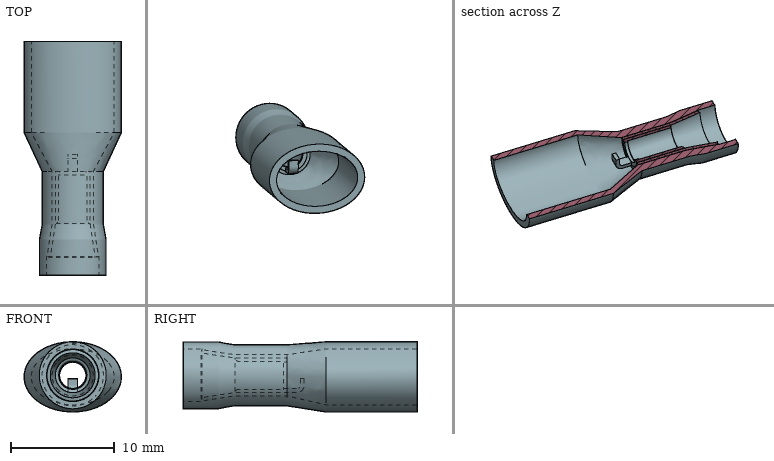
import cadquery as cq

total_length = 22.58
rear_width = 9.4
rear_height = 6.8
rear_drop = 0.147
mouth_radius = 3.23
neck_radius = 2.95
mouth_length = 3.43
flare_end_y = 4.8
neck_start_y = 5.01
neck_end_y = 10.03
rear_start_y = 13.77
bend_length = neck_start_y - flare_end_y
flare_length = flare_end_y - mouth_length
flare_rise = mouth_radius - neck_radius
bend_rise = flare_rise * bend_length / (2 * flare_length + bend_length)

mouth_bore_radius = 2.53
wall = mouth_radius - mouth_bore_radius

rim_y = 1.74
rim_inner_radius = 2.17
rim_outer_radius = 2.48
rim_setback = 0.07
rim_width = rim_outer_radius - rim_inner_radius
rim_outer_y = rim_y + rim_setback
sleeve_bore_radius = 1.67
sleeve_radius = sleeve_bore_radius + rim_width
barrel_start_y = neck_start_y

barrel_radius = sleeve_bore_radius
barrel_bore_radius = 1.35
entry_fillet = barrel_radius - barrel_bore_radius
lip_radius = 1.26
lip_length = 0.34
lip_y = neck_end_y - lip_length
tab_width = 0.93
tab_top_z = -0.32
tab_bend_z = -0.95
tab_bend_radius = 0.34
tab_y = 11.3
tab_floor_z = tab_bend_z - tab_bend_radius
tab_thickness = tab_floor_z + barrel_radius


def revolve_about_y(profile):
    """Turn a closed profile, drawn as (radius, y), once around the Y axis."""
    return profile.close().revolve(360, (0, 0, 0), (0, 1, 0))


def oval_wire(y, half_width, half_height, center_z):
    """Ellipse across Y, with its half width along X."""
    center = cq.Vector(0, y, center_z)
    return cq.Wire.makeEllipse(half_width, half_height, center, cq.Vector(0, -1, 0), cq.Vector(1, 0, 0))


def rear_form(inset, neck_end_radius):
    """Straight-sided loft of the oval rear and its taper to the round neck, inset from the outside."""
    half_width = rear_width / 2 - inset
    half_height = rear_height / 2 - inset
    neck_wire = oval_wire(neck_end_y, neck_end_radius, neck_end_radius, 0)
    rear_wire = oval_wire(rear_start_y, half_width, half_height, -rear_drop)
    end_wire = oval_wire(total_length, half_width, half_height, -rear_drop)
    return cq.Workplane(cq.Solid.makeLoft([neck_wire, rear_wire, end_wire], True))


def make_housing():
    front = revolve_about_y(
        cq.Workplane("XY")
        .moveTo(0, neck_end_y)
        .lineTo(neck_radius, neck_end_y)
        .lineTo(neck_radius, neck_start_y)
        .tangentArcPoint((neck_radius + bend_rise, flare_end_y), relative=False)
        .lineTo(mouth_radius, mouth_length)
        .lineTo(mouth_radius, 0)
        .lineTo(0, 0)
    )
    front_bore = revolve_about_y(
        cq.Workplane("XY")
        .lineTo(mouth_bore_radius, 0)
        .lineTo(mouth_bore_radius, rim_outer_y)
        .lineTo(rim_outer_radius, rim_outer_y)
        .lineTo(sleeve_radius, neck_start_y)
        .lineTo(sleeve_radius, neck_end_y)
        .lineTo(0, neck_end_y)
    )
    body = front.union(rear_form(0, neck_radius))
    return body.cut(front_bore).cut(rear_form(wall, sleeve_radius))


def make_sleeve():
    profile = (
        cq.Workplane("XY")
        .moveTo(rim_inner_radius, rim_y)
        .lineTo(rim_outer_radius, rim_outer_y)
        .lineTo(sleeve_radius, neck_start_y)
        .lineTo(sleeve_radius, neck_end_y)
        .lineTo(sleeve_bore_radius, neck_end_y)
        .lineTo(sleeve_bore_radius, barrel_start_y)
    )
    return revolve_about_y(profile)


def make_terminal():
    barrel = revolve_about_y(
        cq.Workplane("XY")
        .moveTo(barrel_radius, barrel_start_y)
        .lineTo(barrel_radius, neck_end_y)
        .lineTo(lip_radius, neck_end_y)
        .lineTo(lip_radius, lip_y)
        .lineTo(barrel_bore_radius, lip_y)
        .lineTo(barrel_bore_radius, barrel_start_y + entry_fillet)
        .radiusArc((barrel_radius, barrel_start_y), -entry_fillet)
    )
    tab = (
        cq.Workplane("YZ")
        .moveTo(neck_end_y, tab_floor_z)
        .lineTo(tab_y - tab_bend_radius, tab_floor_z)
        .radiusArc((tab_y, tab_bend_z), -tab_bend_radius)
        .lineTo(tab_y, tab_top_z)
        .lineTo(tab_y + tab_thickness, tab_top_z)
        .lineTo(tab_y + tab_thickness, tab_bend_z)
        .radiusArc((tab_y - tab_bend_radius, -barrel_radius), tab_bend_radius + tab_thickness)
        .lineTo(neck_end_y, -barrel_radius)
        .close()
        .extrude(tab_width / 2, both=True)
    )
    return barrel.union(tab)


housing = make_housing()
sleeve = make_sleeve()
terminal = make_terminal()

result = cq.Compound.makeCompound([housing.val(), sleeve.val(), terminal.val()])